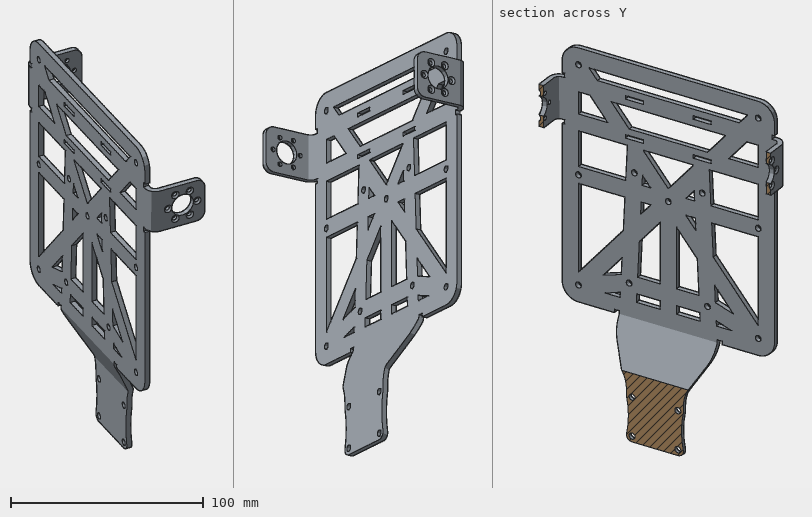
import cadquery as cq
import math

sheet = 3.0
bend_inner = 3.0
bend_outer = bend_inner + sheet

plate_w = 130.0
plate_h = 150.0
corner_r = 10.0
rim = 10.0
strut_w = 10.0
screw_d = 3.4
node_x = plate_w / 2 - rim
node_z = plate_h / 2 - rim
upper_hole = (20.8, 11.0)
lower_hole = (24.0, -55.0)
strut_slant = (upper_hole[0] - lower_hole[0]) / (upper_hole[1] - lower_hole[1])

strap_z = (54.0, 31.0)
strap_x = 20.75
strap_l = 11.0
strap_w = 2.0

ear_h = 25.0
ear_z = sum(strap_z) / 2
ear_depth = 32.0
ear_corner_r = 5.0
ear_outer_x = plate_w / 2 + bend_outer
ear_notch_h = 2.5
ear_notch_depth = 1.5
bore_y = 19.0
bore_d = 12.5
bolt_circle_r = 8.5
bolt_count = 6
bolt_d = 2.4
bolt_sink_d = 4.4
bolt_sink_angle = 90.0

tail_half_w = 30.0
tail_offset = 14.0
tail_angle = math.radians(28.0)
tail_bend_rise = 1.0
tail_bend_z = tail_bend_rise - plate_h / 2
tail_bottom_z = -140.0
tail_notch_w = 3.0
tail_notch_depth = 2.0
tail_hole_x = 14.0
tail_hole_pitch = 23.0
tail_lobe_r = 3.6
tail_neck_half_w = tail_hole_x + tail_lobe_r
tail_waist_half_w = 16.4
taper_top_z = -82.0
taper_bottom_z = -104.5
taper_fillet = 20.0
lower_tail_hole_z = tail_bottom_z + tail_lobe_r
upper_tail_hole_z = lower_tail_hole_z + tail_hole_pitch


def front_plane():
    """XZ workplane at y = 0; negative extrusions go towards +Y."""
    return cq.Workplane("XZ")


def block(x_size, z_size, x, z):
    """Sheet-thick block centred at (x, z)."""
    return front_plane().center(x, z).rect(x_size, z_size).extrude(-sheet)


def strut(start, end):
    """Straight truss bar of standard width along the line start-end."""
    dx = end[0] - start[0]
    dz = end[1] - start[1]
    bar = front_plane().rect(math.hypot(dx, dz), strut_w).extrude(-sheet)
    angle = math.degrees(math.atan2(dz, dx))
    bar = bar.rotate((0, 0, 0), (0, -1, 0), angle)
    return bar.translate(((start[0] + end[0]) / 2, 0, (start[1] + end[1]) / 2))


def slant_x(z):
    """Centreline x, at height z, of the steep strut through the upper and lower holes."""
    return lower_hole[0] + strut_slant * (z - lower_hole[1])


def make_truss():
    foot_z = -node_z - strut_w / 2
    struts = [strut((-node_x, z), (node_x, z)) for z in (*strap_z, 0.0)]
    struts.append(strut((0, 0), (0, foot_z)))
    struts.append(strut((-lower_hole[0], lower_hole[1]), lower_hole))
    for side in (-1, 1):
        struts.append(strut((side * node_x, node_z), (-side * node_x, -node_z)))
        struts.append(strut((side * slant_x(strap_z[1]), strap_z[1]), (side * slant_x(foot_z), foot_z)))
        struts.append(strut((side * lower_hole[0], lower_hole[1]), (side * node_x, -node_z)))

    outline = block(plate_w, plate_h, 0, 0).edges("|Y").fillet(corner_r)
    truss = outline.cut(block(2 * node_x, 2 * node_z, 0, 0))
    for bar in struts:
        truss = truss.union(bar.intersect(outline))
    return truss


def cut_side_windows(truss):
    """Open the upper side windows fully at the corners the diagonals pass through."""
    top = strap_z[1] - strut_w / 2
    bottom = strut_w / 2
    half_strut = strut_w / 2 * math.hypot(1, strut_slant)
    for side in (-1, 1):
        window = [
            (side * (slant_x(top) + half_strut), top),
            (side * node_x, top),
            (side * node_x, bottom),
            (side * (slant_x(bottom) + half_strut), bottom),
        ]
        truss = truss.cut(front_plane().polyline(window).close().extrude(-sheet))
    return truss


def cut_plate_holes(plate):
    nodes = [(0, 0)]
    for side in (-1, 1):
        nodes += [(side * node_x, z) for z in (-node_z, 0, node_z)]
        nodes += [(side * x, z) for x, z in (upper_hole, lower_hole)]
    plate = plate.cut(front_plane().pushPoints(nodes).circle(screw_d / 2).extrude(-sheet))
    for x in (-strap_x, strap_x):
        for z in strap_z:
            plate = plate.cut(block(strap_l, strap_w, x, z))
    return plate


def cut_relief_notches(plate):
    """Bend reliefs on both flanks of each ear and of the tail."""
    ear_notch_x = (plate_w - ear_notch_depth) / 2
    ear_notch_offset = (ear_h + ear_notch_h) / 2
    tail_notch_x = tail_half_w + tail_notch_w / 2
    tail_notch_z = (tail_notch_depth - plate_h) / 2
    for side in (-1, 1):
        for end in (-1, 1):
            z = ear_z + end * ear_notch_offset
            plate = plate.cut(block(ear_notch_depth, ear_notch_h, side * ear_notch_x, z))
        plate = plate.cut(block(tail_notch_w, tail_notch_depth, side * tail_notch_x, tail_notch_z))
    return plate


def make_right_ear():
    bend_x = plate_w / 2
    inner_x = ear_outer_x - sheet
    mid = math.sqrt(0.5)
    ear = (
        cq.Workplane("XY", origin=(0, 0, ear_z - ear_h / 2))
        .moveTo(bend_x, 0)
        .threePointArc((bend_x + bend_outer * mid, bend_outer * (1 - mid)), (ear_outer_x, bend_outer))
        .lineTo(ear_outer_x, ear_depth)
        .lineTo(inner_x, ear_depth)
        .lineTo(inner_x, bend_outer)
        .threePointArc((bend_x + bend_inner * mid, bend_outer - bend_inner * mid), (bend_x, sheet))
        .close()
        .extrude(ear_h)
    )
    ear = ear.edges("|X and >Y").fillet(ear_corner_r)
    face = cq.Workplane("YZ", origin=(ear_outer_x, bore_y, ear_z))
    ear = ear.cut(face.circle(bore_d / 2).extrude(-sheet))
    bolts = face.polarArray(bolt_circle_r, 0, 360, bolt_count)
    sink_depth = (bolt_sink_d - bolt_d) / 2 / math.tan(math.radians(bolt_sink_angle / 2))
    ear = ear.cut(bolts.circle(bolt_d / 2).extrude(-sheet))
    sinks = bolts.circle(bolt_sink_d / 2).extrude(-sink_depth, taper=bolt_sink_angle / 2)
    return ear.cut(sinks)


def make_tail_strip():
    """Joggled strip of full tail width, from the plate down to the tail end."""
    sin_a = math.sin(tail_angle)
    cos_a = math.cos(tail_angle)
    sin_h = math.sin(tail_angle / 2)
    cos_h = math.cos(tail_angle / 2)
    bend_sum = bend_inner + bend_outer
    ramp = (tail_offset - bend_sum * (1 - cos_a)) / sin_a
    upper_y = bend_outer
    lower_y = tail_offset - bend_inner
    lower_z = tail_bend_z - bend_sum * sin_a - ramp * cos_a

    def upper_arc(radius, sine, cosine):
        return (upper_y - radius * cosine, tail_bend_z - radius * sine)

    def lower_arc(radius, sine, cosine):
        return (lower_y + radius * cosine, lower_z + radius * sine)

    return (
        cq.Workplane("YZ", origin=(-tail_half_w, 0, 0))
        .moveTo(0, tail_bend_z)
        .threePointArc(upper_arc(bend_outer, sin_h, cos_h), upper_arc(bend_outer, sin_a, cos_a))
        .lineTo(*lower_arc(bend_inner, sin_a, cos_a))
        .threePointArc(lower_arc(bend_inner, sin_h, cos_h), (tail_offset, lower_z))
        .lineTo(tail_offset, tail_bottom_z)
        .lineTo(tail_offset + sheet, tail_bottom_z)
        .lineTo(tail_offset + sheet, lower_z)
        .threePointArc(lower_arc(bend_outer, sin_h, cos_h), lower_arc(bend_outer, sin_a, cos_a))
        .lineTo(*upper_arc(bend_inner, sin_a, cos_a))
        .threePointArc(upper_arc(bend_inner, sin_h, cos_h), (sheet, tail_bend_z))
        .close()
        .extrude(2 * tail_half_w)
    )


def make_tail():
    depth = tail_offset + sheet
    waist_z = (upper_tail_hole_z + lower_tail_hole_z) / 2
    lobe = tail_lobe_r * math.sqrt(0.5)
    half = (
        front_plane()
        .moveTo(0, tail_bend_z)
        .lineTo(tail_half_w, tail_bend_z)
        .lineTo(tail_half_w, taper_top_z)
        .lineTo(tail_neck_half_w, taper_bottom_z)
        .lineTo(tail_neck_half_w, upper_tail_hole_z)
        .threePointArc((tail_waist_half_w, waist_z), (tail_neck_half_w, lower_tail_hole_z))
        .threePointArc((tail_hole_x + lobe, lower_tail_hole_z - lobe), (tail_hole_x, tail_bottom_z))
        .lineTo(0, tail_bottom_z)
        .close()
        .extrude(-depth)
    )
    for x, z in ((tail_half_w, taper_top_z), (tail_neck_half_w, taper_bottom_z)):
        corner = cq.NearestToPointSelector((x, depth / 2, z))
        half = half.edges("|Y").edges(corner).fillet(taper_fillet)
    tail = make_tail_strip().intersect(half.union(half.mirror("YZ")))
    holes = [(x, z) for x in (-tail_hole_x, tail_hole_x) for z in (lower_tail_hole_z, upper_tail_hole_z)]
    return tail.cut(front_plane().pushPoints(holes).circle(screw_d / 2).extrude(-depth))


def make_part():
    plate = cut_side_windows(make_truss())
    plate = cut_plate_holes(plate)
    plate = cut_relief_notches(plate)
    plate = plate.cut(block(2 * tail_half_w, tail_bend_rise, 0, tail_bend_z - tail_bend_rise / 2))
    ear = make_right_ear()
    return plate.union(ear).union(ear.mirror("YZ")).union(make_tail())


result = make_part()